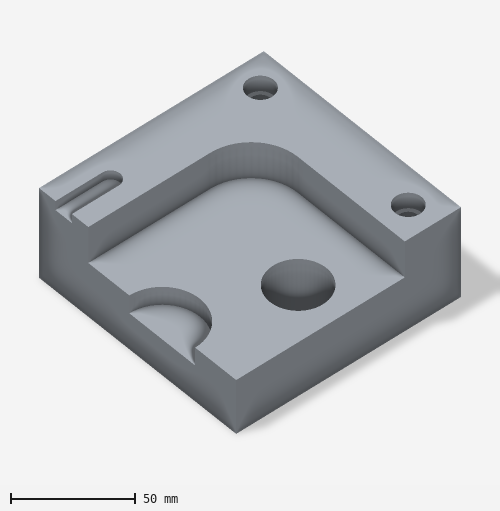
import cadquery as cq

side = 120.0
height = 50.0

wall = 30.0
step_depth = 20.0
step_corner_radius = 25.0

recess_x = 75.0
recess_radius = 20.0
recess_depth = 10.0

bore_x = 95.0
bore_y = 55.0
bore_diameter = 30.0

slot_width = 10.0
slot_length = 30.0
slot_depth = 5.0

screw_diameter = 10.0
counterbore_diameter = 14.0
counterbore_depth = 8.6

wall_middle = wall / 2
floor_z = height - step_depth


def box(x, y, z, length, width, tall):
    """Box with its lower front left corner at (x, y, z)."""
    return cq.Workplane("XY").box(length, width, tall, centered=False).translate((x, y, z))


def cylinder(x, y, z, diameter, tall):
    """Upright cylinder with its base centre at (x, y, z)."""
    return cq.Workplane("XY").circle(diameter / 2).extrude(tall).translate((x, y, z))


def step_cut():
    cut = box(wall, 0, floor_z, side - wall, side - wall, step_depth)
    return cut.edges("|Z and <X and >Y").fillet(step_corner_radius)


def slot_cut():
    slot_z = height - slot_depth
    straight = slot_length - slot_width / 2
    channel = box(wall_middle - slot_width / 2, 0, slot_z, slot_width, straight, slot_depth)
    return channel.union(cylinder(wall_middle, straight, slot_z, slot_width, slot_depth))


def screw_hole_cut(x):
    y = side - wall_middle
    seat_z = height - counterbore_depth
    shank = cylinder(x, y, 0, screw_diameter, height)
    return shank.union(cylinder(x, y, seat_z, counterbore_diameter, counterbore_depth))


result = box(0, 0, 0, side, side, height)
result = result.cut(step_cut())
result = result.cut(cylinder(recess_x, 0, floor_z - recess_depth, 2 * recess_radius, recess_depth))
result = result.cut(cylinder(bore_x, bore_y, 0, bore_diameter, height))
result = result.cut(slot_cut())
for screw_x in (wall_middle, side - wall_middle):
    result = result.cut(screw_hole_cut(screw_x))